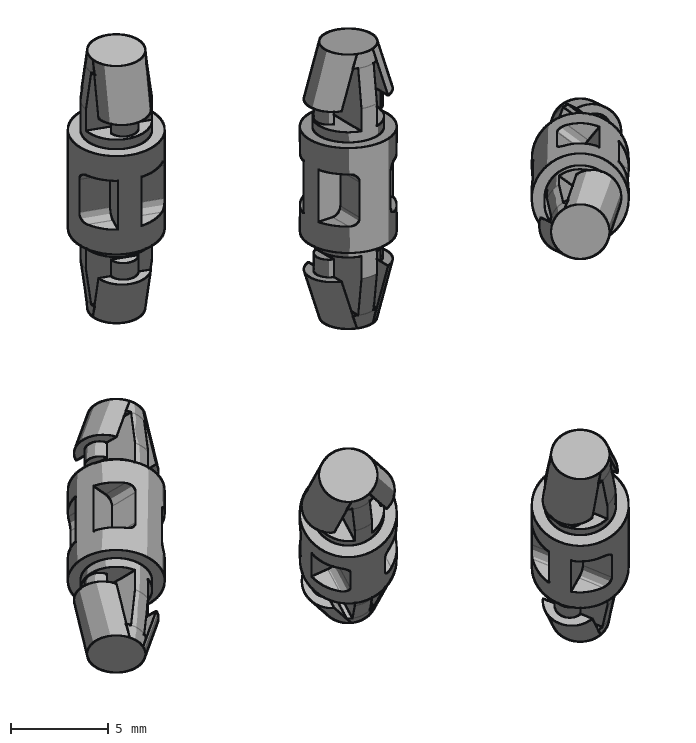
import cadquery as cq
import math

total_height = 15.8
body_diameter = 5.0
body_height = 6.04
neck_diameter = 3.7
neck_height = 0.58

head_height = 3.0
tip_radius = 1.5
arm_spread = body_diameter / 2 - tip_radius
arm_inner_offset = 0.5
web_thickness = 1.0
plug_height = 0.79
plug_base_radius = 1.58

pin_length = 1.01
pin_width = 1.5
pin_depth = 0.54

pocket_height = 3.0
pocket_inner_x = 1.0
pocket_inner_y = 0.63
pocket_fillet = 0.49

top_z = total_height / 2
head_base_z = top_z - head_height
body_radius = body_diameter / 2
neck_radius = neck_diameter / 2
plug_base_z = top_z - plug_height
neck_top_z = body_height / 2 + neck_height


def segment_profile(plane, chord_x, half_chord, crown_x):
    """Circular segment with a straight side at chord_x and its crown towards +X."""
    return (
        plane.moveTo(chord_x, -half_chord)
        .threePointArc((crown_x, 0), (chord_x, half_chord))
        .close()
    )


def make_core():
    """Neck that narrows in two cones from the arm ends to the tip."""
    half_section = [
        (0, 0),
        (neck_radius, 0),
        (neck_radius, head_base_z),
        (plug_base_radius, plug_base_z),
        (tip_radius, top_z),
        (0, top_z),
    ]
    return (
        cq.Workplane("XZ")
        .polyline(half_section)
        .close()
        .revolve(360, (0, 0, 0), (0, 1, 0))
    )


def make_web_and_plug():
    """Flat web on the neck, and the plug that joins the two arms at the tip."""
    plug_base_x = arm_inner_offset + arm_spread * plug_height / head_height
    half_web = web_thickness / 2
    right_side = [
        (neck_radius, 0),
        (neck_radius, neck_top_z),
        (half_web, neck_top_z),
        (half_web, plug_base_z),
        (plug_base_x, plug_base_z),
        (arm_inner_offset, top_z),
    ]
    left_side = [(-x, z) for x, z in reversed(right_side)]
    silhouette = (
        cq.Workplane("XZ")
        .polyline(right_side + left_side)
        .close()
        .extrude(body_radius, both=True)
    )
    return make_core().intersect(silhouette)


def make_arm():
    """Slanted segment of an oblique cylinder, with a pin under its free end."""
    half_chord = math.sqrt(tip_radius**2 - arm_inner_offset**2)
    chord_base_x = arm_inner_offset + arm_spread
    base_plane = cq.Workplane("XY").workplane(offset=head_base_z)
    base = segment_profile(base_plane, chord_base_x, half_chord, body_radius)
    arm = segment_profile(
        base.workplane(offset=head_height), arm_inner_offset, half_chord, tip_radius
    ).loft(ruled=True, combine=True)
    pin_plane = cq.Workplane("XY").workplane(offset=head_base_z - pin_length)
    pin = segment_profile(
        pin_plane, chord_base_x, pin_width / 2, chord_base_x + pin_depth
    ).extrude(pin_length)
    return arm.union(pin)


def make_body():
    """Cylinder with a rounded-corner pocket in each quadrant."""
    body = cq.Workplane("XY").circle(body_radius).extrude(body_height / 2, both=True)
    pocket = (
        cq.Workplane("XY")
        .box(body_radius, body_radius, pocket_height, centered=(False, False, True))
        .translate((pocket_inner_x, pocket_inner_y, 0))
        .edges("|Y and <X")
        .fillet(pocket_fillet)
    )
    pocket_pair = pocket.union(pocket.mirror("YZ"))
    return body.cut(pocket_pair).cut(pocket_pair.mirror("XZ"))


arm = make_arm()
above_body = (
    cq.Workplane("XY")
    .workplane(offset=body_height / 2)
    .circle(body_radius)
    .extrude(top_z)
)
snap_head = make_web_and_plug().intersect(above_body).union(arm).union(arm.mirror("YZ"))
result = make_body().union(snap_head).union(snap_head.mirror("XY"))